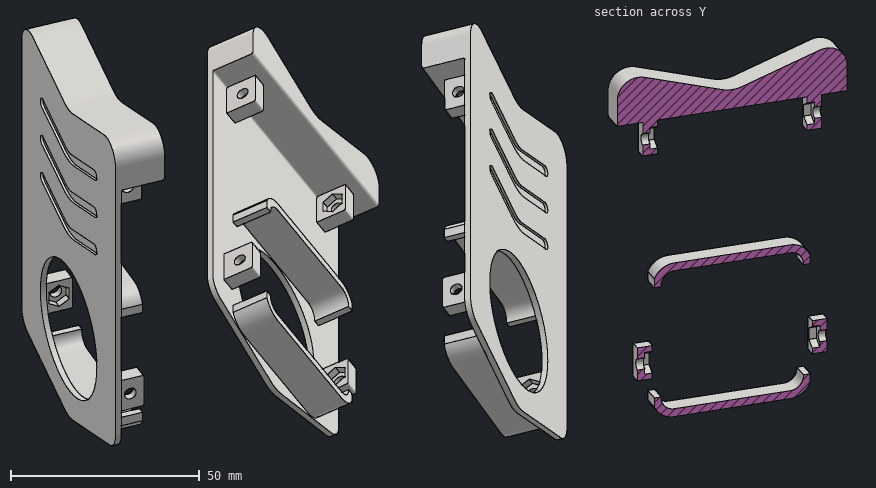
import cadquery as cq
import math

width = 65.0
height = 106.4
plate_thickness = 1.7
total_depth = 14.1
chevron_angle = math.radians(18)
corner_radius = 6.0
point_radius = 9.3

block_bottom = 92.9
block_back_fillet = 0.9
block_root_fillet = 0.5

groove_count = 3
groove_pitch = 11.9
groove_width = 3.0
groove_depth = 0.7
groove_span = 39.0
groove_inner_bend_radius = 7.0
groove_outer_bend_radius = 12.8
top_groove_tip = 83.1

opening_diameter = 39.0
opening_z = 28.1
collar_depth = 10.4
collar_height = 45.0
collar_wall = 2.5
collar_trimmed_width = 44.0
collar_inner_radius = 3.7
collar_gap = 32.0

lower_tab_inner_x = 22.6
upper_tab_inner_x = 21.1
tab_thickness = 4.3
tab_depth = 8.8
tab_height = 9.8
tab_corner_fillet = 0.5
lower_tab_z = 22.6
upper_tab_z = block_bottom - tab_height / 2
screw_diameter = 3.3
screw_from_plate = 4.9
nut_across_flats = 5.9
nut_pocket_depth = 2.1

slope = math.tan(chevron_angle)
rise = width / 2 * slope

corner_loss = corner_radius * (slope + 1 / math.cos(chevron_angle) - 1)
point_loss = point_radius * (1 / math.cos(chevron_angle) - 1)
bottom_point_z = -point_loss
top_corner_z = height + corner_loss


def extrude_back(sketch, start_y, depth):
    """Extrude an XZ sketch toward +Y, starting at start_y."""
    return sketch.extrude(-depth).translate((0, start_y, 0))


def make_outline_body(depth):
    """Chevron outline with rounded corners, extruded back from the front face."""
    outline = cq.Workplane("XZ").polyline([
        (0, bottom_point_z),
        (width / 2, bottom_point_z + rise),
        (width / 2, top_corner_z),
        (0, top_corner_z - rise),
        (-width / 2, top_corner_z),
        (-width / 2, bottom_point_z + rise),
    ]).close()
    body = extrude_back(outline, 0, depth)
    body = body.edges("|Y").edges("<X or >X").fillet(corner_radius)
    for point_z in (bottom_point_z, top_corner_z - rise):
        point_edge = cq.selectors.NearestToPointSelector((0, depth / 2, point_z))
        body = body.edges("|Y").edges(point_edge).fillet(point_radius)
    return body


def make_plate_and_block():
    """Full-depth outline cut back to the plate thickness everywhere below the top block."""
    clearance = (
        cq.Workplane("XY")
        .box(2 * width, total_depth, 2 * block_bottom, centered=(True, False, True))
        .translate((0, plate_thickness, 0))
        .edges("|X and >Z and <Y")
        .fillet(block_root_fillet)
    )
    body = make_outline_body(total_depth).cut(clearance)
    back_edge = cq.selectors.NearestToPointSelector((0, total_depth, block_bottom))
    return body.edges("|X").edges(back_edge).fillet(block_back_fillet)


def make_groove(tip_z):
    """Round-ended chevron groove whose sharp centreline bends at tip_z."""
    radius = groove_width / 2
    end_x = groove_span / 2 - radius
    end_z = tip_z + end_x * slope
    across_x = radius * math.sin(chevron_angle)
    across_z = radius * math.cos(chevron_angle)
    bend_offset = radius / math.cos(chevron_angle)

    outline = (
        cq.Workplane("XZ")
        .moveTo(0, tip_z - bend_offset)
        .lineTo(end_x + across_x, end_z - across_z)
        .threePointArc((end_x + across_z, end_z + across_x), (end_x - across_x, end_z + across_z))
        .lineTo(0, tip_z + bend_offset)
        .lineTo(-end_x + across_x, end_z + across_z)
        .threePointArc((-end_x - across_z, end_z + across_x), (-end_x - across_x, end_z - across_z))
        .close()
    )
    groove = extrude_back(outline, 0, groove_depth)
    for offset, bend_radius in (
        (bend_offset, groove_inner_bend_radius),
        (-bend_offset, groove_outer_bend_radius),
    ):
        bend_edge = cq.selectors.NearestToPointSelector((0, groove_depth / 2, tip_z + offset))
        groove = groove.edges("|Y").edges(bend_edge).fillet(bend_radius)
    return groove


def make_collar():
    """Square ring of even wall, its sides shaved flat, split into upper and lower channels."""
    def collar_block(size_x, size_z):
        sketch = cq.Workplane("XZ").center(0, opening_z).rect(size_x, size_z)
        return extrude_back(sketch, plate_thickness, collar_depth)

    inner_size = collar_height - 2 * collar_wall
    outer = collar_block(collar_height, collar_height).edges("|Y").fillet(collar_inner_radius + collar_wall)
    inner = collar_block(inner_size, inner_size).edges("|Y").fillet(collar_inner_radius)
    shaved = outer.intersect(collar_block(collar_trimmed_width, collar_height))
    return shaved.cut(inner).cut(collar_block(collar_height, collar_gap))


def make_tab(inner_x, center_z, rounded_edges):
    """Right-hand screw tab; rounded_edges selects which of its back edges are rounded."""
    screw_y = plate_thickness + screw_from_plate
    tab = (
        cq.Workplane("XY")
        .box(tab_thickness, tab_depth, tab_height, centered=(False, False, True))
        .translate((inner_x, plate_thickness, center_z))
        .edges(rounded_edges)
        .fillet(tab_corner_fillet)
    )
    inner_face = cq.Workplane("YZ", origin=(inner_x, screw_y, center_z))
    hole = inner_face.circle(screw_diameter / 2).extrude(tab_thickness)
    nut_corner_diameter = nut_across_flats / math.cos(math.pi / 6)
    nut_pocket = (
        inner_face.transformed(rotate=(0, 0, 90))
        .polygon(6, nut_corner_diameter)
        .extrude(nut_pocket_depth)
    )
    return tab.cut(hole).cut(nut_pocket)


result = make_plate_and_block().union(make_collar())

for tab in (
    make_tab(lower_tab_inner_x, lower_tab_z, "|X and >Y"),
    make_tab(upper_tab_inner_x, upper_tab_z, "|X and >Y and <Z"),
):
    result = result.union(tab).union(tab.mirror("YZ"))

opening = cq.Workplane("XZ").center(0, opening_z).circle(opening_diameter / 2)
result = result.cut(extrude_back(opening, 0, plate_thickness))

for index in range(groove_count):
    result = result.cut(make_groove(top_groove_tip - index * groove_pitch))